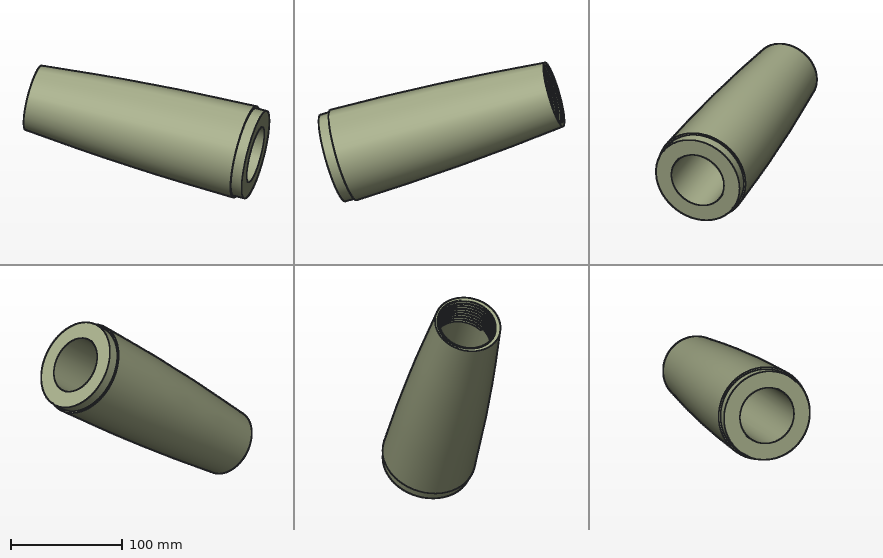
import cadquery as cq
import math

total_length = 210.0
collar_length = 10.0
body_length = total_length - collar_length

narrow_radius = 30.0
middle_radius = 38.2
wide_diameter = 85.0
wide_radius = wide_diameter / 2
collar_radius = 40.7
bore_radius = 25.6

pitch = 4.0
thread_turns = 8.5
thread_start_angle = 43.0
flank_angle = math.radians(30)
sharp_thread_height = pitch / (2 * math.tan(flank_angle))
thread_depth = sharp_thread_height * 5 / 8
root_flat = pitch / 8

pin_diameter = 12.2
pin_position = total_length / 2
pin_fillet = 1.0

clearance = 0.2


def make_sleeve():
    """Bulged conical body with a reduced collar and a plain through bore."""
    outline = (
        cq.Workplane("XY")
        .moveTo(0, bore_radius)
        .lineTo(0, narrow_radius)
        .threePointArc((body_length / 2, middle_radius), (body_length, wide_radius))
        .lineTo(body_length, collar_radius)
        .lineTo(total_length, collar_radius)
        .lineTo(total_length, bore_radius)
        .close()
    )
    return outline.revolve(360, (0, 0, 0), (1, 0, 0))


def make_pin():
    """Round bar along Z whose ends are buried in the sleeve wall."""
    pin_reach = (bore_radius + narrow_radius) / 2
    return (
        cq.Workplane("XY", origin=(pin_position, 0, -pin_reach))
        .circle(pin_diameter / 2)
        .extrude(2 * pin_reach)
    )


def fillet_pin_ends(sleeve):
    """Round the two closed joints between the pin and the bore wall."""
    around_pin = cq.selectors.BoxSelector(
        (pin_position - pin_diameter, -pin_diameter, -bore_radius - clearance),
        (pin_position + pin_diameter, pin_diameter, bore_radius + clearance),
    )
    return sleeve.edges(around_pin).edges("not |Z").fillet(pin_fillet)


def make_thread_groove():
    """Helical cutter that starts one pitch outside the narrow end face."""
    path = cq.Wire.makeHelix(pitch, thread_turns * pitch, bore_radius)
    mouth_radius = bore_radius - clearance
    root_radius = bore_radius + thread_depth
    half_root = root_flat / 2
    half_mouth = half_root + (root_radius - mouth_radius) * math.tan(flank_angle)
    groove = (
        cq.Workplane("XZ")
        .polyline([
            (mouth_radius, -half_mouth),
            (root_radius, -half_root),
            (root_radius, half_root),
            (mouth_radius, half_mouth),
        ])
        .close()
        .sweep(cq.Workplane(obj=path), isFrenet=True)
    )
    groove = groove.rotate((0, 0, 0), (0, 1, 0), 90)
    groove = groove.rotate((0, 0, 0), (1, 0, 0), thread_start_angle)
    return groove.translate((-pitch, 0, 0))


sleeve = fillet_pin_ends(make_sleeve().union(make_pin()))
result = sleeve.cut(make_thread_groove())